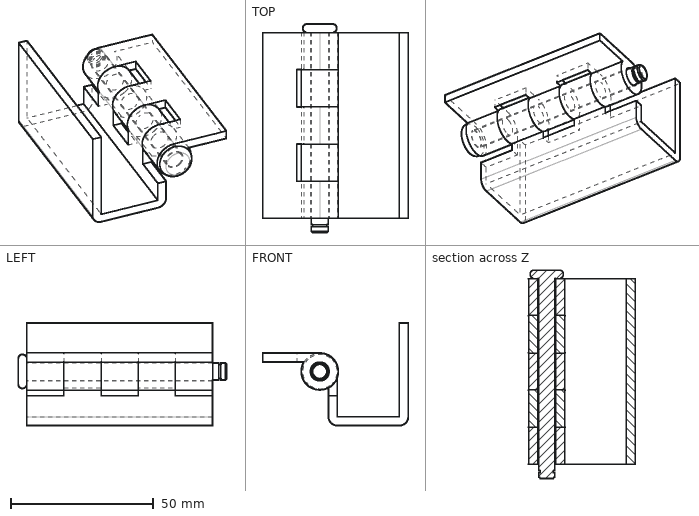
import cadquery as cq

overall_length = 73.0

pin_radius = 3.0
head_radius = 6.0
head_thickness = 3.0
tail_length = 5.0
tail_chamfer = 0.5
groove_radius = 2.5
groove_offset = 2.2
groove_width = 0.65

thickness = 3.2
barrel_radius = 6.5
bore_radius = barrel_radius - thickness
knuckle_count = 5
leaf_length = overall_length - head_thickness - tail_length
knuckle_length = leaf_length / knuckle_count
leaf_start = -leaf_length / 2
leaf_end = leaf_length / 2

flat_leaf_reach = 20.0
flat_leaf_slot = 8.0

channel_left = 3.0
channel_right = 31.0
channel_bottom = -19.0
channel_top = 17.0
channel_notch_floor = -8.55
bend_radius = thickness


def box_between(x0, x1, y0, y1, z0, z1):
    """Box spanning two opposite corners."""
    return cq.Workplane("XY").box(x1 - x0, y1 - y0, z1 - z0, centered=False).translate((x0, y0, z0))


def cylinder_along_y(radius, y0, length):
    """Cylinder on the hinge axis, starting at y0 and running toward +Y."""
    return cq.Workplane("XZ", origin=(0, y0, 0)).circle(radius).extrude(-length)


def knuckle_start(index):
    return leaf_start + index * knuckle_length


def cut_bore(leaf):
    return leaf.cut(cylinder_along_y(bore_radius, leaf_start, leaf_length))


def make_flat_leaf():
    """Horizontal plate whose even-numbered knuckles wrap the pin."""
    leaf = box_between(
        -flat_leaf_reach, -flat_leaf_slot, leaf_start, leaf_end, bore_radius, barrel_radius
    )
    for index in range(0, knuckle_count, 2):
        y0 = knuckle_start(index)
        y1 = y0 + knuckle_length
        leaf = leaf.union(box_between(-flat_leaf_slot, 0, y0, y1, bore_radius, barrel_radius))
        leaf = leaf.union(cylinder_along_y(barrel_radius, y0, knuckle_length))
    return cut_bore(leaf)


def make_channel_leaf():
    """U-shaped channel whose short wall carries the odd-numbered knuckles."""
    inner_left = channel_left + thickness
    inner_right = channel_right - thickness
    leaf = (
        cq.Workplane("XZ", origin=(0, leaf_start, 0))
        .moveTo(channel_left, channel_notch_floor)
        .lineTo(channel_left, channel_bottom + bend_radius)
        .radiusArc((channel_left + bend_radius, channel_bottom), -bend_radius)
        .lineTo(channel_right - bend_radius, channel_bottom)
        .radiusArc((channel_right, channel_bottom + bend_radius), -bend_radius)
        .lineTo(channel_right, channel_top)
        .lineTo(inner_right, channel_top)
        .lineTo(inner_right, channel_bottom + thickness)
        .lineTo(inner_left, channel_bottom + thickness)
        .lineTo(inner_left, channel_notch_floor)
        .close()
        .extrude(-leaf_length)
    )
    for index in range(1, knuckle_count, 2):
        y0 = knuckle_start(index)
        y1 = y0 + knuckle_length
        leaf = leaf.union(box_between(channel_left, inner_left, y0, y1, channel_notch_floor, 0))
        leaf = leaf.union(cylinder_along_y(barrel_radius, y0, knuckle_length))
    return cut_bore(leaf)


def make_pin():
    """Pin revolved about Y: round-edged head, shank, retaining groove and chamfered tail."""
    tail_end = leaf_start - tail_length
    groove_top = leaf_start - groove_offset
    groove_bottom = groove_top - groove_width
    head_top = leaf_end + head_thickness
    head_rim_radius = head_thickness / 2
    head_flat_radius = head_radius - head_rim_radius
    return (
        cq.Workplane("XY")
        .moveTo(0, tail_end)
        .lineTo(pin_radius - tail_chamfer, tail_end)
        .lineTo(pin_radius, tail_end + tail_chamfer)
        .lineTo(pin_radius, groove_bottom)
        .lineTo(groove_radius, groove_bottom)
        .lineTo(groove_radius, groove_top)
        .lineTo(pin_radius, groove_top)
        .lineTo(pin_radius, leaf_end)
        .lineTo(head_flat_radius, leaf_end)
        .threePointArc((head_radius, leaf_end + head_rim_radius), (head_flat_radius, head_top))
        .lineTo(0, head_top)
        .close()
        .revolve(360, (0, 0, 0), (0, 1, 0))
    )


flat_leaf = make_flat_leaf()
channel_leaf = make_channel_leaf()
pin = make_pin()

result = cq.Compound.makeCompound([flat_leaf.val(), channel_leaf.val(), pin.val()])